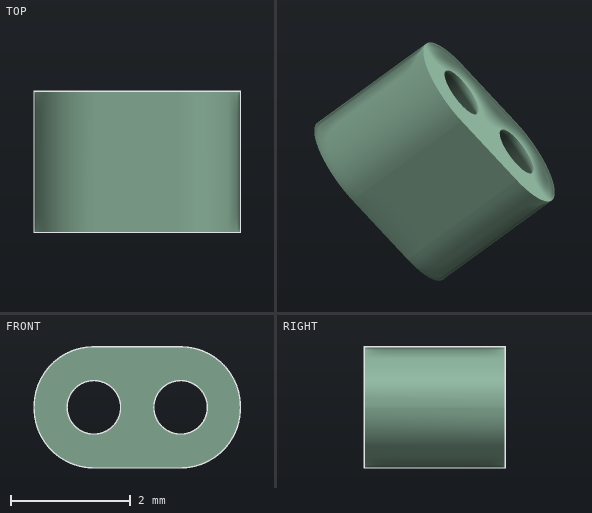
import cadquery as cq

width = 3.45
depth = 2.36
height = 2.03

corner_radius = 1.0
bore_diameter = 0.89
bore_spacing = width - 2 * corner_radius

body = cq.Workplane("XY").box(width, depth, height).edges("|Y").fillet(corner_radius)

result = (
    body.faces("<Y")
    .workplane(centerOption="CenterOfBoundBox")
    .pushPoints([(-bore_spacing / 2, 0), (bore_spacing / 2, 0)])
    .hole(bore_diameter)
)